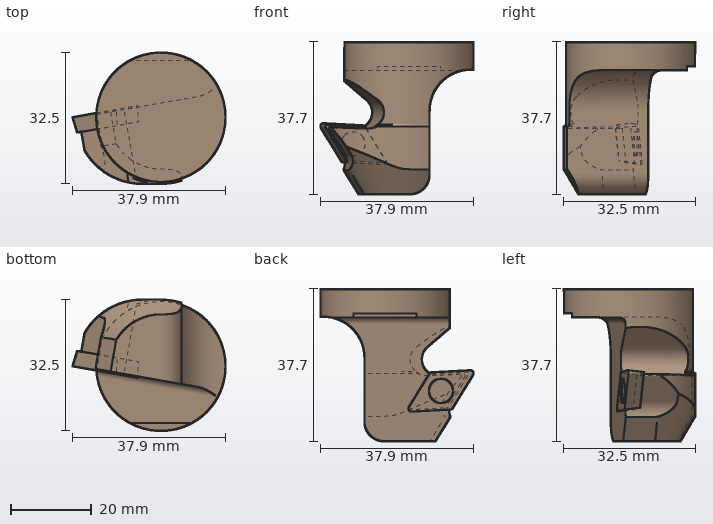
import cadquery as cq
import math

SHANK_RADIUS = 16.0
HEIGHT = 37.68

FOOT_RADIUS = 16.5
FOOT_SHIFT = 4.55
FOOT_TOP = 16.8
NECK_FILLET = FOOT_RADIUS - SHANK_RADIUS
CONE_BOTTOM_RADIUS = 12.85
CONE_ANGLE = 59.5

BACK_X = 5.15
SCOOP_RADIUS = 10.0
SCOOP_TOP = 30.8
HEEL_RADIUS = 5.0

RAKE_ANGLE = 10.0
RAKE_OFFSET = 3.45
ROOF_Z = 30.67
ROOF_FILLET = 1.75
ROOF_STEP_Y = 13.97
ROOF_STEP_Z = 31.65

CUTTING_ANGLE = 58.0
GROOVE_RADIUS = 4.0
UPPER_GROOVE = (-12.65, 20.3)
LOWER_GROOVE = (-19.5, 7.7)
UPPER_SLOPE = 40.0
LEDGE_SLOPE = 3.0
LOWER_CORNER_Z = 6.1
NOSE_RADIUS = 0.4

INSERT_ANGLE = CUTTING_ANGLE - LEDGE_SLOPE
INSERT_SIDE = 11.6
INSERT_THICKNESS = 3.98
INSERT_PROUD = 0.36
INSERT_RELIEF = 7.0
INSERT_CENTER = (-13.35, 12.5)
INSERT_CORNER_RADIUS = 0.8
DISH_DIAMETER = 6.02
DISH_DEPTH = 0.3

FAR = 37.87


def polar(center, radius, degrees):
    angle = math.radians(degrees)
    return (center[0] + radius * math.cos(angle), center[1] + radius * math.sin(angle))


def rake_plane(offset):
    """Plane parallel to the rake face: local x runs along it, local y is up, normal points to -Y."""
    angle = math.radians(RAKE_ANGLE)
    along = (math.cos(angle), math.sin(angle), 0)
    inward = (math.sin(angle), -math.cos(angle), 0)
    origin = (-offset * inward[0], -offset * inward[1], 0)
    return cq.Plane(origin=origin, xDir=along, normal=inward)


def make_blank():
    shank = cq.Workplane("XY").workplane(offset=FOOT_TOP).circle(SHANK_RADIUS).extrude(HEIGHT - FOOT_TOP)
    foot = cq.Workplane("XY").circle(FOOT_RADIUS).extrude(FOOT_TOP)
    foot = foot.union(foot.translate((-FOOT_SHIFT, 0, 0)))
    foot = foot.union(
        cq.Workplane("XY").box(FOOT_SHIFT, 2 * FOOT_RADIUS, FOOT_TOP, centered=(True, True, False))
        .translate((-FOOT_SHIFT / 2, 0, 0))
    )
    cone_top_radius = CONE_BOTTOM_RADIUS + FOOT_TOP / math.tan(math.radians(CONE_ANGLE))
    cone = (
        cq.Workplane("XZ")
        .polyline([(0, 0), (CONE_BOTTOM_RADIUS, 0), (cone_top_radius, FOOT_TOP), (0, FOOT_TOP)])
        .close()
        .revolve(360, (0, 0, 0), (0, 1, 0))
    )
    middle = polar((SHANK_RADIUS + NECK_FILLET, FOOT_TOP + NECK_FILLET), NECK_FILLET, 225)
    neck_fillet = (
        cq.Workplane("XZ")
        .moveTo(0, FOOT_TOP)
        .lineTo(SHANK_RADIUS + NECK_FILLET, FOOT_TOP)
        .threePointArc(middle, (SHANK_RADIUS, FOOT_TOP + NECK_FILLET))
        .lineTo(0, FOOT_TOP + NECK_FILLET)
        .close()
        .revolve(360, (0, 0, 0), (0, 1, 0))
    )
    return foot.intersect(cone).union(shank).union(neck_fillet)


def back_relief():
    scoop_center = (BACK_X + SCOOP_RADIUS, SCOOP_TOP - SCOOP_RADIUS)
    heel_center = (BACK_X - HEEL_RADIUS, HEEL_RADIUS)
    return (
        cq.Workplane("XZ")
        .moveTo(heel_center[0], 0)
        .threePointArc(polar(heel_center, HEEL_RADIUS, -45), (BACK_X, HEEL_RADIUS))
        .lineTo(BACK_X, scoop_center[1])
        .threePointArc(polar(scoop_center, SCOOP_RADIUS, 135), (scoop_center[0], SCOOP_TOP))
        .lineTo(FAR, SCOOP_TOP)
        .lineTo(FAR, 0)
        .close()
        .extrude(FAR, both=True)
    )


def chip_space():
    """Everything in front of the rake face and below the roof, with the stepped roof edge."""
    space = (
        cq.Workplane(rake_plane(RAKE_OFFSET))
        .rect(2 * FAR, 2 * ROOF_Z)
        .extrude(-FAR)
        .edges(cq.selectors.NearestToPointSelector(
            rake_plane(RAKE_OFFSET).toWorldCoords((0, ROOF_Z, 0)).toTuple()))
        .fillet(ROOF_FILLET)
    )
    step = cq.Workplane("XY").box(2 * FAR, FAR, ROOF_STEP_Z, centered=(True, False, False))
    return space.union(step.translate((0, ROOF_STEP_Y, 0)))


def side_cut():
    """Upper chip groove, seat ledge, flank, lower groove and lower face, cut square to the rake face."""
    run = 1 / math.tan(math.radians(CUTTING_ANGLE))
    upper_start = polar(UPPER_GROOVE, GROOVE_RADIUS, 90 - UPPER_SLOPE)
    ledge_start = polar(UPPER_GROOVE, GROOVE_RADIUS, -90 - LEDGE_SLOPE)
    flank_end = polar(LOWER_GROOVE, GROOVE_RADIUS, 90 - CUTTING_ANGLE)
    drop = LOWER_GROOVE[1] - LOWER_CORNER_Z
    lower_corner = (LOWER_GROOVE[0] + math.sqrt(GROOVE_RADIUS**2 - drop**2), LOWER_CORNER_Z)

    fall = math.tan(math.radians(LEDGE_SLOPE))
    flank_foot = flank_end[0] + flank_end[1] * run
    nose_z = (ledge_start[1] + fall * (ledge_start[0] - flank_foot)) / (1 - fall * run)
    nose = (flank_foot - nose_z * run, nose_z)
    setback = NOSE_RADIUS / math.tan(math.radians(INSERT_ANGLE / 2))
    bisector = -(LEDGE_SLOPE + CUTTING_ANGLE) / 2
    nose_center = polar(nose, NOSE_RADIUS / math.sin(math.radians(INSERT_ANGLE / 2)), bisector)

    outer_rise = (upper_start[0] + FAR) * math.tan(math.radians(UPPER_SLOPE))
    profile = (
        cq.Workplane(rake_plane(RAKE_OFFSET))
        .moveTo(-FAR, upper_start[1] + outer_rise)
        .lineTo(*upper_start)
        .threePointArc(polar(UPPER_GROOVE, GROOVE_RADIUS, 0), ledge_start)
        .lineTo(*polar(nose, setback, -LEDGE_SLOPE))
        .threePointArc(polar(nose_center, NOSE_RADIUS, 180 + bisector), polar(nose, setback, -CUTTING_ANGLE))
        .lineTo(*flank_end)
        .threePointArc(polar(LOWER_GROOVE, GROOVE_RADIUS, 0), lower_corner)
        .lineTo(lower_corner[0] + lower_corner[1] * run, 0)
        .lineTo(-FAR, 0)
        .close()
    )
    return profile.extrude(FAR, both=True)


def insert_blank():
    """Rhombic plate with rounded corners; its sides draw in toward the seat by the relief angle."""
    half_long = INSERT_SIDE * math.cos(math.radians(INSERT_ANGLE / 2))
    half_short = INSERT_SIDE * math.sin(math.radians(INSERT_ANGLE / 2))
    bisector = -(LEDGE_SLOPE + CUTTING_ANGLE) / 2
    corners = [
        polar(INSERT_CENTER, reach, bisector + turn)
        for reach, turn in [(half_long, 0), (half_short, 90), (half_long, 180), (half_short, 270)]
    ]
    rake = rake_plane(RAKE_OFFSET + INSERT_PROUD)
    outline = cq.Wire.makePolygon([rake.toWorldCoords(corner) for corner in corners], close=True)
    outline = outline.fillet2D(INSERT_CORNER_RADIUS, outline.Vertices())
    return cq.Workplane(rake).add(outline).toPending().extrude(INSERT_THICKNESS, taper=INSERT_RELIEF)


def insert_dish():
    """Shallow round recess with a flat floor in the rake side of the insert."""
    face = cq.Workplane(rake_plane(RAKE_OFFSET + INSERT_PROUD)).center(*INSERT_CENTER)
    return face.circle(DISH_DIAMETER / 2).extrude(DISH_DEPTH)


holder = make_blank().cut(back_relief()).cut(chip_space()).cut(side_cut()).cut(insert_blank())
insert = insert_blank().cut(insert_dish())

result = cq.Compound.makeCompound([holder.solids().val(), insert.solids().val()])